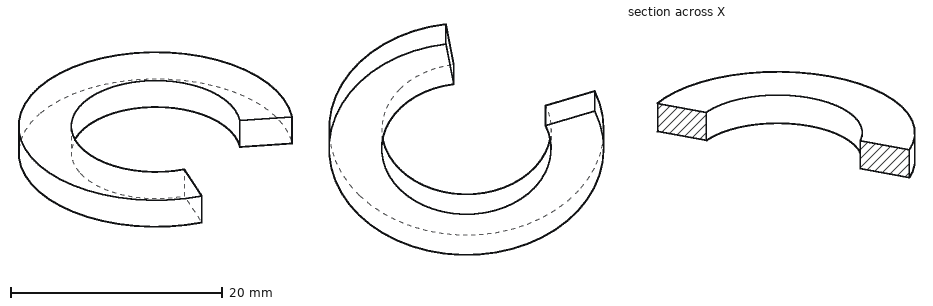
import cadquery as cq
import math

outer_radius = 13.0
inner_radius = 8.0
thickness = 3.0
gap_half_angle = math.radians(38.8)


def point_at(radius, angle):
    """Point on a circle about the ring centre."""
    return (radius * math.cos(angle), radius * math.sin(angle))


result = (
    cq.Workplane("XY")
    .moveTo(*point_at(outer_radius, gap_half_angle))
    .threePointArc((-outer_radius, 0), point_at(outer_radius, -gap_half_angle))
    .lineTo(*point_at(inner_radius, -gap_half_angle))
    .threePointArc((-inner_radius, 0), point_at(inner_radius, gap_half_angle))
    .close()
    .extrude(thickness)
)